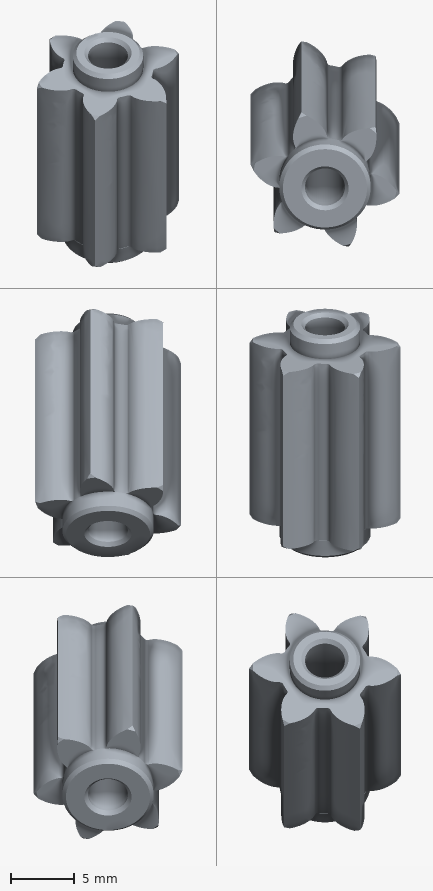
import cadquery as cq
import math

total_length = 19.05
gear_length = 15.81
hub_length = (total_length - gear_length) / 2
edge_chamfer = 0.29

tooth_count = 6
pitch_radius = 3.81
pressure_angle = math.radians(14.5)
base_radius = pitch_radius * math.cos(pressure_angle)
tip_radius = 5.95
root_radius = 3.55
flank_start_roll = 0.22
flank_points = 7

top_hub_radius = 2.76
bottom_hub_radius = 3.58
bore_radius = 1.56


def polar(radius, angle):
    return (radius * math.cos(angle), radius * math.sin(angle))


def involute_turn(roll):
    """Angle turned by an involute, seen from the gear centre, at a given roll angle."""
    return roll - math.atan(roll)


tip_roll = math.sqrt((tip_radius / base_radius) ** 2 - 1)
half_tooth_angle = involute_turn(tip_roll)

flank_start_reach = base_radius * flank_start_roll
flank_start_radius = math.hypot(base_radius, flank_start_reach)
root_fillet = (flank_start_radius**2 - root_radius**2) / (2 * (root_radius - flank_start_reach))
fillet_centre_radius = root_radius + root_fillet
touch_angle = half_tooth_angle - flank_start_roll
fillet_angle = touch_angle + math.acos(base_radius / fillet_centre_radius)


def flank(tooth_angle, side):
    """Involute from the root fillet to the tip; side is -1 or +1 about the tooth centre."""
    points = []
    for i in range(flank_points):
        roll = flank_start_roll + (tip_roll - flank_start_roll) * i / (flank_points - 1)
        radius = base_radius * math.sqrt(1 + roll**2)
        angle = tooth_angle + side * (half_tooth_angle - involute_turn(roll))
        points.append(polar(radius, angle))
    return points


def fillet_points(tooth_angle, side):
    """Middle of a root fillet arc, and its end on the root circle."""
    centre_angle = tooth_angle + side * fillet_angle
    centre_x, centre_y = polar(fillet_centre_radius, centre_angle)
    to_flank = tooth_angle + side * (touch_angle - math.pi / 2)
    to_root = centre_angle - side * math.pi
    offset_x, offset_y = polar(root_fillet, (to_flank + to_root) / 2)
    middle = (centre_x + offset_x, centre_y + offset_y)
    return middle, polar(root_radius, centre_angle)


def gear_outline():
    pitch_angle = 2 * math.pi / tooth_count
    first_tooth = math.pi / 2
    outline = cq.Workplane("XY").moveTo(*fillet_points(first_tooth, -1)[1])
    for i in range(tooth_count):
        tooth = first_tooth + i * pitch_angle
        rising = flank(tooth, -1)
        falling = flank(tooth, 1)[::-1]
        fillet_middle, _ = fillet_points(tooth, -1)
        outline = outline.threePointArc(fillet_middle, rising[0])
        outline = outline.spline(rising[1:], includeCurrent=True)
        outline = outline.spline(falling[1:], includeCurrent=True)
        outline = outline.threePointArc(*fillet_points(tooth, 1))
        root_middle = polar(root_radius, tooth + pitch_angle / 2)
        next_root_end = fillet_points(tooth + pitch_angle, -1)[1]
        outline = outline.threePointArc(root_middle, next_root_end)
    return outline.close()


def make_gear():
    """Toothed body with its tooth tips bevelled at both end faces."""
    blank = cq.Workplane("XY").circle(tip_radius).extrude(gear_length).edges().chamfer(edge_chamfer)
    teeth = gear_outline().extrude(gear_length)
    return teeth.intersect(blank).translate((0, 0, hub_length))


def make_hub(radius, outer_face):
    """Hub at one end of the gear, bevelled at its outer face."""
    base_height = total_length - hub_length if outer_face == ">Z" else 0
    hub = cq.Workplane("XY").workplane(offset=base_height).circle(radius).extrude(hub_length)
    return hub.faces(outer_face).edges().chamfer(edge_chamfer)


def make_bore():
    """Through bore, bevelled outwards at both ends."""
    mouth_radius = bore_radius + edge_chamfer
    half_section = [
        (0, 0),
        (mouth_radius, 0),
        (bore_radius, edge_chamfer),
        (bore_radius, total_length - edge_chamfer),
        (mouth_radius, total_length),
        (0, total_length),
    ]
    return cq.Workplane("XZ").polyline(half_section).close().revolve(360, (0, 0), (0, 1))


result = (
    make_gear()
    .union(make_hub(bottom_hub_radius, "<Z"))
    .union(make_hub(top_hub_radius, ">Z"))
    .cut(make_bore())
)